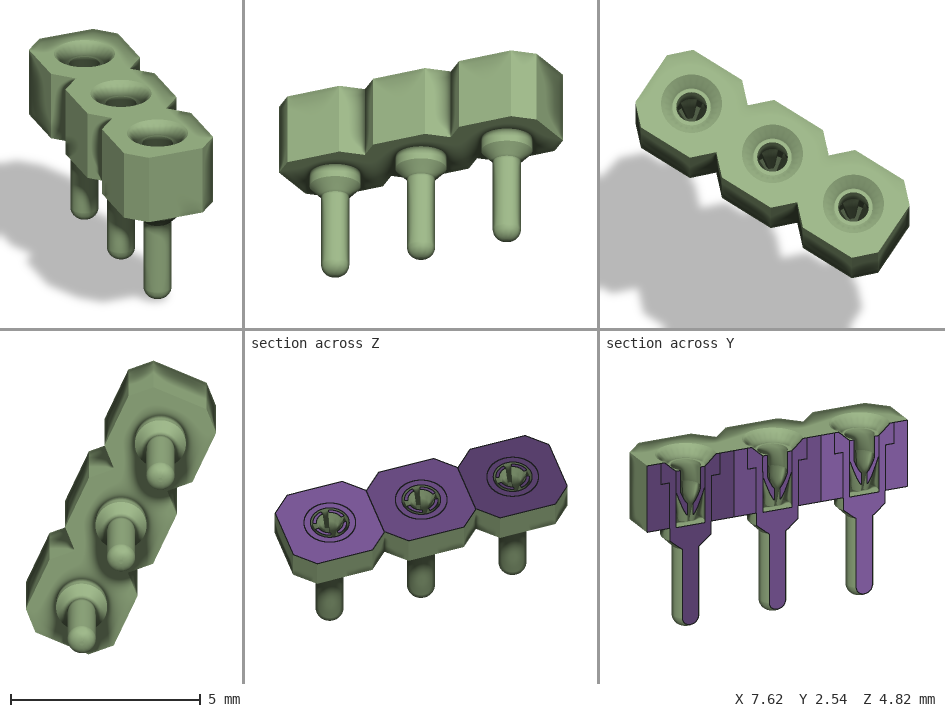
import cadquery as cq
import math

LENGTH = 7.62
SOCKET_COUNT = 3
PITCH = LENGTH / SOCKET_COUNT
socket_places = [(i - (SOCKET_COUNT - 1) / 2) * PITCH for i in range(SOCKET_COUNT)]

HOUSING_HEIGHT = 1.9
CORNER_CHAMFER = 0.5

HEAD_RADIUS = 1.81 / 2
BARREL_RADIUS = 1.35 / 2
PIN_RADIUS = 0.75 / 2
BORE_RADIUS = 1.01 / 2
FUNNEL_DEPTH = 0.3
HEAD_HEIGHT = 2 * FUNNEL_DEPTH
HEAD_Z = HOUSING_HEIGHT - HEAD_HEIGHT
COLLAR_DROP = 0.35
PIN_SHOULDER_Z = -COLLAR_DROP - (BARREL_RADIUS - PIN_RADIUS)
TOTAL_HEIGHT = 4.82
PIN_TIP_Z = HOUSING_HEIGHT - TOTAL_HEIGHT
TIP_ROUNDING = 0.31
BORE_FLOOR_Z = 0.0

CLIP_TOP_Z = HOUSING_HEIGHT - FUNNEL_DEPTH
CLIP_INNER_RADIUS = 0.81 / 2
CLIP_WALL = BORE_RADIUS - CLIP_INNER_RADIUS
CLIP_TUBE_HEIGHT = 0.61
FINGER_COUNT = 4
FINGER_TOP_Z = CLIP_TOP_Z - CLIP_TUBE_HEIGHT
FINGER_CLEARANCE = 0.08
FINGER_END_Z = BORE_FLOOR_Z + FINGER_CLEARANCE
FINGER_END_RADIUS = 0.14
SLOT_OUTER_WIDTH = 0.18
SLOT_INNER_WIDTH = 0.1


def make_housing():
    """Block with chamfered upright corners and a stepped hole that fits the sleeve."""
    block = (
        cq.Workplane("XY")
        .rect(PITCH, PITCH)
        .extrude(HOUSING_HEIGHT)
        .edges("|Z")
        .chamfer(CORNER_CHAMFER)
    )
    barrel_hole = cq.Workplane("XY").circle(BARREL_RADIUS).extrude(HOUSING_HEIGHT)
    head_recess = cq.Workplane("XY").workplane(offset=HEAD_Z).circle(HEAD_RADIUS).extrude(HEAD_HEIGHT)
    return block.cut(barrel_hole).cut(head_recess)


def make_sleeve():
    """Turned sleeve: funnel mouth, blind bore, flange, barrel, cone and round-ended pin."""
    diagonal = TIP_ROUNDING * math.sqrt(0.5)
    tip_flat_radius = PIN_RADIUS - TIP_ROUNDING
    tip_arc_z = PIN_TIP_Z + TIP_ROUNDING
    profile = (
        cq.Workplane("XZ")
        .moveTo(0, PIN_TIP_Z)
        .lineTo(tip_flat_radius, PIN_TIP_Z)
        .threePointArc((tip_flat_radius + diagonal, tip_arc_z - diagonal), (PIN_RADIUS, tip_arc_z))
        .lineTo(PIN_RADIUS, PIN_SHOULDER_Z)
        .lineTo(BARREL_RADIUS, -COLLAR_DROP)
        .lineTo(BARREL_RADIUS, HEAD_Z)
        .lineTo(HEAD_RADIUS, HEAD_Z)
        .lineTo(HEAD_RADIUS, HOUSING_HEIGHT)
        .lineTo(BORE_RADIUS + FUNNEL_DEPTH, HOUSING_HEIGHT)
        .lineTo(BORE_RADIUS, CLIP_TOP_Z)
        .lineTo(BORE_RADIUS, BORE_FLOOR_Z)
        .lineTo(0, BORE_FLOOR_Z)
        .close()
    )
    return profile.revolve(360, (0, 0, 0), (0, 1, 0))


def make_finger_slots():
    """Four slots at right angles, each narrowing towards the axis."""
    taper = (SLOT_OUTER_WIDTH - SLOT_INNER_WIDTH) / (CLIP_INNER_RADIUS - FINGER_END_RADIUS)
    axis_half_width = (SLOT_INNER_WIDTH - taper * FINGER_END_RADIUS) / 2
    bore_half_width = axis_half_width + taper * BORE_RADIUS / 2
    slot = (
        cq.Workplane("XY")
        .workplane(offset=FINGER_END_Z)
        .moveTo(0, -axis_half_width)
        .lineTo(BORE_RADIUS, -bore_half_width)
        .lineTo(BORE_RADIUS, bore_half_width)
        .lineTo(0, axis_half_width)
        .close()
        .extrude(FINGER_TOP_Z - FINGER_END_Z)
    )
    slots = slot
    for turn in range(1, FINGER_COUNT):
        slots = slots.union(slot.rotate((0, 0, 0), (0, 0, 1), 360 / FINGER_COUNT * turn))
    return slots


def make_clip():
    """Tube that fits the sleeve's bore, tapering below into four separate fingers."""
    shell = (
        cq.Workplane("XZ")
        .moveTo(CLIP_INNER_RADIUS, CLIP_TOP_Z)
        .lineTo(BORE_RADIUS, CLIP_TOP_Z)
        .lineTo(BORE_RADIUS, FINGER_TOP_Z)
        .lineTo(FINGER_END_RADIUS + CLIP_WALL, FINGER_END_Z)
        .lineTo(FINGER_END_RADIUS, FINGER_END_Z)
        .lineTo(CLIP_INNER_RADIUS, FINGER_TOP_Z)
        .close()
        .revolve(360, (0, 0, 0), (0, 1, 0))
    )
    return shell.cut(make_finger_slots())


housings = [make_housing().translate((x, 0, 0)).val() for x in socket_places]
sleeves = [make_sleeve().translate((x, 0, 0)).val() for x in socket_places]
clips = [make_clip().translate((x, 0, 0)).val() for x in socket_places]

result = cq.Compound.makeCompound([*housings, *sleeves, *clips])